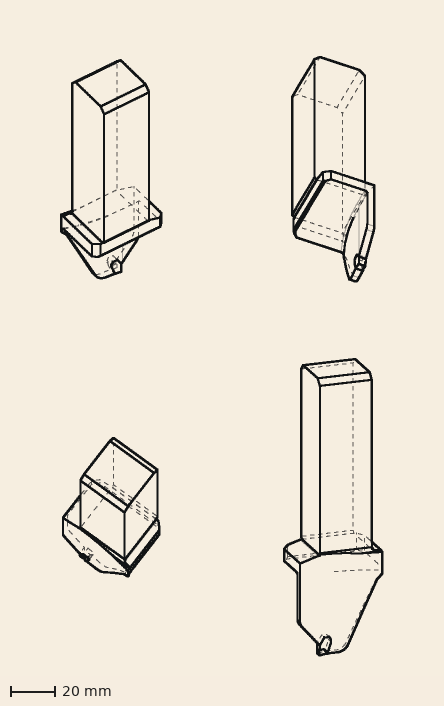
import cadquery as cq
import math

total_height = 131.6
shank_width = 25.0
half_shank = shank_width / 2
top_chamfer = 2.8
heel_chamfer = 1.0

head_top = 47.8
head_bottom = 39.5
head_front = -16.6
head_back = head_front + 38.7
head_right = 11.3
head_corner_chamfer = 2.8
head_bottom_chamfer = 0.8
back_slope_start = 13.4
back_slope_drop = 2.6
neck_overlap = 0.5
ledge_height = 47.0
ledge_inner_x = -14.0
ledge_slope_top = 48.8

outer_back_x = -12.9
outer_front_x = -15.4
inner_flat_x = -9.3
inner_bend_start = 13.2
inner_bend_radius = 84.2
blade_root_fillet = 1.2
blade_bottom = 0.7
back_corner_z = 15.8
back_corner_radius = 4.2
front_corner_y = 0.7
front_corner_radius = 5.8
front_edge_z = 36.6
front_knee = (-14.2, 34.1)

tip_back_y = 12.6
tip_front_y = 9.1
seat_upper_z = 4.9
seat_inner_y = 7.2
seat_inner_bottom_z = 5.9
seat_inner_top_z = 7.0
seat_top_z = 8.4
seat_top_back_y = 10.5
seat_top_front_y = 8.0
tip_front_z = 0.5
flank_top_z = 2.8
flank_arc_start_y = 10.7
flank_arc_middle = (9.9, 2.0)
flank_arc_end_y = 9.5
flank_relief = 0.4

margin = 0.1


def right_of_outer():
    """Prism covering the plan from the outer side to the right side of the head."""
    third = (head_back - head_front) / 3
    return (
        cq.Workplane("XY")
        .moveTo(head_right, head_back)
        .lineTo(outer_back_x, head_back)
        .bezier([
            (outer_back_x, head_back),
            (outer_back_x, head_back - third),
            (outer_back_x, head_back - 2 * third),
            (outer_front_x, head_front),
        ])
        .lineTo(head_right, head_front)
        .close()
        .extrude(ledge_slope_top)
    )


def inner_x(y):
    """X of the inner side at a given Y within its bend."""
    return inner_flat_x - inner_bend_radius + math.sqrt(inner_bend_radius**2 - (inner_bend_start - y) ** 2)


def right_of_inner():
    """Prism covering the plan from the inner side to the right side of the head."""
    middle_y = (inner_bend_start + head_front) / 2
    return (
        cq.Workplane("XY")
        .moveTo(head_right, head_back)
        .lineTo(inner_flat_x, head_back)
        .lineTo(inner_flat_x, inner_bend_start)
        .threePointArc((inner_x(middle_y), middle_y), (inner_x(head_front), head_front))
        .lineTo(head_right, head_front)
        .close()
        .extrude(ledge_slope_top)
    )


def side_prism(points):
    """Prism along X, across the whole part, with the given Y-Z outline."""
    return cq.Workplane("YZ").polyline(points).close().extrude(shank_width, both=True)


def make_shank():
    """Square bar with two chamfers at its top and one at its heel."""
    shank = cq.Workplane("XY", origin=(0, 0, head_top)).rect(shank_width, shank_width)
    shank = shank.extrude(total_height - head_top)
    shank = shank.faces(">Z").edges("|Y").chamfer(top_chamfer)
    return shank.faces("<Z").edges(">X").chamfer(heel_chamfer)


def make_blade():
    """Curved blade with a tapered lower outline, continuing up through the head."""
    outline = side_prism([
        (head_back, back_corner_z),
        (tip_back_y, seat_upper_z),
        (tip_front_y, blade_bottom),
        (front_corner_y, blade_bottom),
        front_knee,
        (head_front, front_edge_z),
        (head_front, ledge_slope_top),
        (head_back, ledge_slope_top),
    ])

    def corner(y, z):
        """Selector for the edge along X at a corner of the outline."""
        low = (-2 * shank_width, y - margin, z - margin)
        high = (2 * shank_width, y + margin, z + margin)
        return cq.selectors.BoxSelector(low, high, boundingbox=False)

    outline = outline.edges(corner(head_back, back_corner_z)).fillet(back_corner_radius)
    outline = outline.edges(corner(front_corner_y, blade_bottom)).fillet(front_corner_radius)
    return right_of_outer().cut(right_of_inner()).intersect(outline)


def make_head_block():
    """Block between blade and shank, with chamfered right corners."""
    block = right_of_outer().edges("|Z and >X").chamfer(head_corner_chamfer)
    block = block.intersect(side_prism([
        (head_front, head_bottom),
        (head_back, head_bottom),
        (head_back, ledge_slope_top),
        (head_front, ledge_slope_top),
    ]))
    return block.faces("<Z").edges(">X").chamfer(head_bottom_chamfer)


def head_top_envelope():
    """Space below the head's top: sloped at the back and along the shank."""
    back_slope = side_prism([
        (head_front, 0),
        (head_back, 0),
        (head_back, head_top - back_slope_drop),
        (back_slope_start, head_top),
        (half_shank, head_top),
        (half_shank, ledge_slope_top),
        (-half_shank, ledge_slope_top),
        (-half_shank - neck_overlap, head_top),
        (head_front, head_top - neck_overlap),
    ])
    ledge = (
        cq.Workplane("XZ")
        .polyline([
            (-shank_width, 0),
            (head_right, 0),
            (head_right, head_top),
            (-half_shank, head_top),
            (-half_shank, ledge_slope_top),
            (ledge_inner_x, ledge_height),
            (-shank_width, ledge_height),
        ])
        .close()
        .extrude(2 * shank_width, both=True)
    )
    return back_slope.intersect(ledge)


def insert_prism():
    """Outline of the insert and of its slot."""
    return side_prism([
        (tip_back_y, 0),
        (tip_back_y, seat_upper_z),
        (seat_top_back_y, seat_top_z),
        (seat_top_front_y, seat_top_z),
        (seat_inner_y, seat_inner_top_z),
        (seat_inner_y, seat_inner_bottom_z),
        (tip_front_y, tip_front_z),
    ])


def make_holder():
    """Shank, head and blade as one body, slotted for the insert."""
    body = make_blade().union(make_head_block())
    root = cq.selectors.BoxSelector(
        (outer_front_x, head_front - margin, head_bottom - margin),
        (inner_flat_x + margin, head_back + margin, head_bottom + margin),
        boundingbox=True,
    )
    body = body.edges(root).fillet(blade_root_fillet)
    body = body.intersect(head_top_envelope())
    return body.union(make_shank()).cut(insert_prism())


def make_insert():
    """Insert as thick as the blade, relieved on its outer side at the tip."""
    insert = right_of_outer().cut(right_of_inner()).intersect(insert_prism())
    outer_tip_x = insert.val().BoundingBox().xmin
    flank_depth = outer_tip_x + flank_relief - outer_front_x
    flank = (
        cq.Workplane("YZ", origin=(outer_front_x, 0, 0))
        .moveTo(tip_back_y, 0)
        .lineTo(tip_back_y, flank_top_z)
        .lineTo(flank_arc_start_y, flank_top_z)
        .threePointArc(flank_arc_middle, (flank_arc_end_y, 0))
        .close()
        .extrude(flank_depth)
    )
    return insert.cut(flank)


holder = make_holder()
insert = make_insert()
result = cq.Compound.makeCompound([holder.val(), insert.val()])